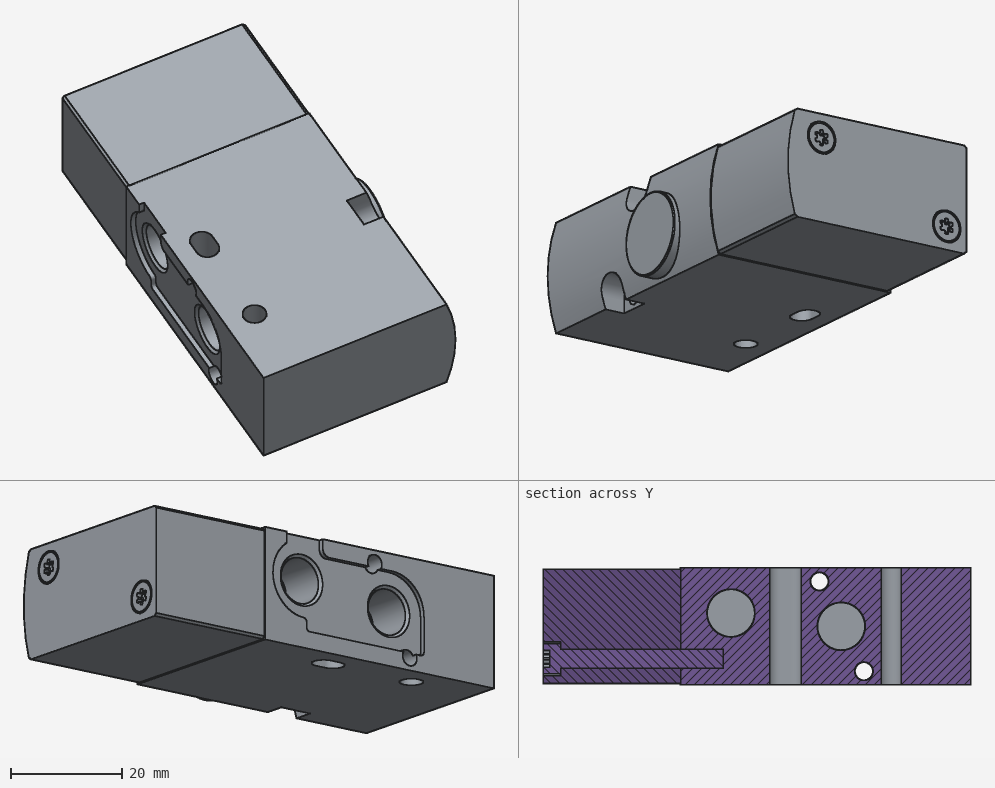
import cadquery as cq
import math

LENGTH = 76.95
HEIGHT = 21.1
CAP_LENGTH = 24.7
CAP_INSET = 0.2
CAP_CHAMFER = 0.5
SIDE_DEPTH = 37.4
DOME_DEPTH = 39.25

BOSS_DIAMETER = 15.6
BOSS_X = 42.4
BOSS_Z = 8.55
BOSS_DEPTH = 40.4
BOSS_CHAMFER = 0.2

LEFT_PORT = (33.8, 12.9)
RIGHT_PORT = (53.6, 10.55)
PORT_DIAMETER = 8.55
PORT_MOUTH_DIAMETER = 9.6
PORT_DEPTH = 10.0

RECESS_DEPTH = 1.0
RECESS_RADIUS = 7.3
RECESS_BOTTOM = 3.2
OPENING_LEFT = 29.6
OPENING_RIGHT = 37.85
OPENING_RADIUS = 1.5
STEP_X = 34.2
CORNER_RADIUS = 0.7

MOUNTING_HOLES = [(49.7, 18.6), (57.7, 2.5)]
MOUNTING_DIAMETER = 3.2
POCKET_WIDTH = 6.55
POCKET_FLOOR = 33.4

VERTICAL_DIAMETER = 4.3
VERTICAL_Y = 5.85
ROUND_HOLE_X = 62.6
SLOT_X = 43.6
SLOT_LENGTH = 6.4

SCREW_PLACES = [(31.7, 16.3), (4.55, 4.7)]
HEAD_DIAMETER = 5.5
HEAD_HEIGHT = 3.1
HEAD_POCKET_DIAMETER = 6.1
SHANK_DIAMETER = 3.4
SHANK_IN_BODY = 7.7
SHANK_END = CAP_LENGTH + SHANK_IN_BODY
SOCKET_TIP_DIAMETER = 3.0
SOCKET_ROOT_DIAMETER = 2.0
SOCKET_DEPTH = 1.15
SOCKET_SLOTS = 3
LOBE_WIDTH = 0.7


def front_plane(y):
    """XZ plane at the given Y, facing -Y; extruding by a negative length goes into the body."""
    return cq.Workplane("XZ", origin=(0, y, 0))


def domed_block(start, end, inset):
    """Box along X with a domed back; inset shrinks the cross-section on every side."""
    bottom, top = inset, HEIGHT - inset
    return (
        cq.Workplane("YZ", origin=(start, 0, 0))
        .moveTo(inset, bottom)
        .lineTo(SIDE_DEPTH, bottom)
        .threePointArc((DOME_DEPTH - inset, HEIGHT / 2), (SIDE_DEPTH, top))
        .lineTo(inset, top)
        .close()
        .extrude(end - start)
    )


def boss():
    """Round boss, started inside the body so that it meets the whole dome."""
    return (
        front_plane(SIDE_DEPTH)
        .center(BOSS_X, BOSS_Z)
        .circle(BOSS_DIAMETER / 2)
        .extrude(SIDE_DEPTH - BOSS_DEPTH)
        .faces(">Y")
        .chamfer(BOSS_CHAMFER)
    )


def gasket_recess():
    """Shallow recess that follows both ports and runs out through the top of the body."""
    left_x, left_z = LEFT_PORT
    right_x, right_z = RIGHT_PORT
    upper_wall = right_z + RECESS_RADIUS
    right_wall = right_x + RECESS_RADIUS
    diagonal = RECESS_RADIUS * math.sqrt(0.5)
    opening_z = left_z + math.sqrt(RECESS_RADIUS**2 - (left_x - OPENING_LEFT) ** 2)
    step_z = left_z - math.sqrt(RECESS_RADIUS**2 - (STEP_X - left_x) ** 2)
    outline = (
        front_plane(0)
        .moveTo(OPENING_LEFT, HEIGHT)
        .lineTo(OPENING_RIGHT, HEIGHT)
        .lineTo(OPENING_RIGHT, upper_wall)
        .lineTo(right_x, upper_wall)
        .threePointArc((right_x + diagonal, right_z + diagonal), (right_wall, right_z))
        .lineTo(right_wall, RECESS_BOTTOM)
        .lineTo(STEP_X, RECESS_BOTTOM)
        .lineTo(STEP_X, step_z)
        .threePointArc((left_x - RECESS_RADIUS, left_z), (OPENING_LEFT, opening_z))
        .close()
        .extrude(-RECESS_DEPTH)
    )

    def round_corner(shape, x, z, radius):
        corner = cq.selectors.NearestToPointSelector((x, RECESS_DEPTH / 2, z))
        return shape.edges("|Y").edges(corner).fillet(radius)

    outline = round_corner(outline, OPENING_RIGHT, upper_wall, OPENING_RADIUS)
    outline = round_corner(outline, right_wall, RECESS_BOTTOM, CORNER_RADIUS)
    outline = round_corner(outline, STEP_X, step_z, CORNER_RADIUS)
    return round_corner(outline, STEP_X, RECESS_BOTTOM, CORNER_RADIUS)


def port(place):
    """Blind bore with a chamfered mouth, opening from the recess floor."""
    mouth_chamfer = (PORT_MOUTH_DIAMETER - PORT_DIAMETER) / 2
    bore = (
        front_plane(RECESS_DEPTH).center(*place).circle(PORT_DIAMETER / 2).extrude(-PORT_DEPTH)
    )
    mouth = (
        front_plane(RECESS_DEPTH)
        .center(*place)
        .circle(PORT_MOUTH_DIAMETER / 2)
        .extrude(-mouth_chamfer, taper=45)
    )
    return bore.union(mouth)


def mounting_hole(place):
    """Through hole with a round pocket for a screw head, open to the nearer flat face."""
    x, z = place
    nearer_face = HEIGHT if z > HEIGHT / 2 else 0
    pocket_depth = BOSS_DEPTH - POCKET_FLOOR
    through = front_plane(0).center(x, z).circle(MOUNTING_DIAMETER / 2).extrude(-BOSS_DEPTH)
    pocket = front_plane(POCKET_FLOOR).center(x, z).circle(POCKET_WIDTH / 2).extrude(-pocket_depth)
    opening = (
        front_plane(POCKET_FLOOR)
        .center(x, (z + nearer_face) / 2)
        .rect(POCKET_WIDTH, abs(nearer_face - z))
        .extrude(-pocket_depth)
    )
    return through.union(pocket).union(opening)


def vertical_openings():
    """Slot and round hole through the full height of the body."""
    base = cq.Workplane("XY")
    slot = base.center(SLOT_X, VERTICAL_Y).slot2D(SLOT_LENGTH, VERTICAL_DIAMETER).extrude(HEIGHT)
    hole = base.center(ROUND_HOLE_X, VERTICAL_Y).circle(VERTICAL_DIAMETER / 2).extrude(HEIGHT)
    return slot.union(hole)


def rod_along_x(place, diameter, start, end):
    return (
        cq.Workplane("YZ", origin=(start, 0, 0))
        .center(*place)
        .circle(diameter / 2)
        .extrude(end - start)
    )


def screw_shank(place):
    return rod_along_x(place, SHANK_DIAMETER, CAP_INSET, SHANK_END)


def star_socket(place):
    """Six-lobed drive socket: a round core crossed by slots, with one lobe pointing up."""
    socket = rod_along_x(place, SOCKET_ROOT_DIAMETER, 0, SOCKET_DEPTH)
    for step in range(SOCKET_SLOTS):
        angle = 90 + step * 180 / SOCKET_SLOTS
        slot = (
            cq.Workplane("YZ")
            .center(*place)
            .slot2D(SOCKET_TIP_DIAMETER, LOBE_WIDTH, angle)
            .extrude(SOCKET_DEPTH)
        )
        socket = socket.union(slot)
    return socket


def make_valve_body():
    body = domed_block(CAP_LENGTH, LENGTH, 0).union(boss())
    body = body.cut(gasket_recess()).cut(vertical_openings())
    for place in (LEFT_PORT, RIGHT_PORT):
        body = body.cut(port(place))
    for place in MOUNTING_HOLES:
        body = body.cut(mounting_hole(place))
    for place in SCREW_PLACES:
        body = body.cut(screw_shank(place))
    return body


def make_end_cap():
    cap = domed_block(0, CAP_LENGTH, CAP_INSET).edges("|X").chamfer(CAP_CHAMFER)
    for place in SCREW_PLACES:
        cap = cap.cut(rod_along_x(place, HEAD_POCKET_DIAMETER, 0, HEAD_HEIGHT))
        cap = cap.cut(screw_shank(place))
    return cap


def make_screw(place):
    """Cap screw whose head sits flush in the end cap."""
    head = rod_along_x(place, HEAD_DIAMETER, 0, HEAD_HEIGHT)
    return head.union(screw_shank(place)).cut(star_socket(place))


valve_body = make_valve_body()
end_cap = make_end_cap()
screws = [make_screw(place) for place in SCREW_PLACES]

result = cq.Compound.makeCompound(
    [valve_body.val(), end_cap.val(), *[screw.val() for screw in screws]]
)